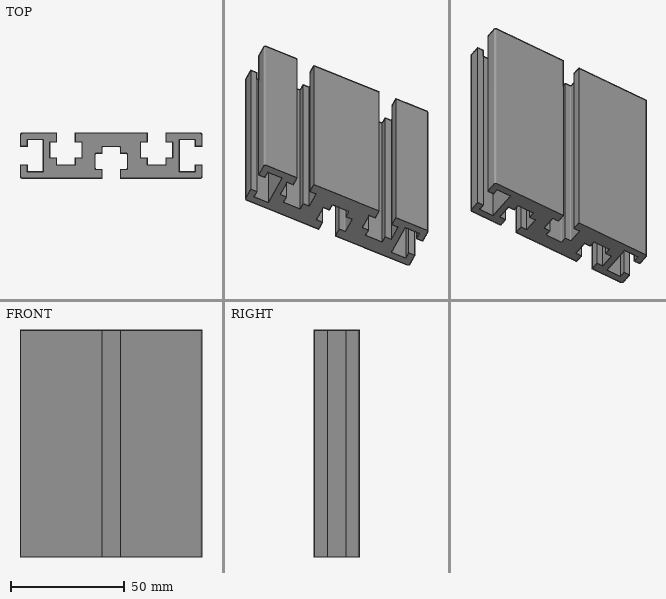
import cadquery as cq

WIDTH = 80.0
DEPTH = 20.0
LENGTH = 100.0
CORNER_RADIUS = 0.9

MOUTH_WIDTH = 8.1
CHAMBER_WIDTH = 14.1

LIP_THICKNESS = 4.0
CHAMBER_BOTTOM = 11.0
SLOT_DEPTH = 14.0
BACK_SLOT_OFFSET = WIDTH / 4
FRONT_SLOT_FILLET = 0.3

END_LIP_THICKNESS = 3.0
END_SLOT_DEPTH = 10.0


def bar():
    """Solid bar with its four long edges rounded."""
    return cq.Workplane("XY").box(WIDTH, DEPTH, LENGTH).edges("|Z").fillet(CORNER_RADIUS)


def box_between(x_range, y_range):
    """Full-length block spanning the given X and Y ranges."""
    x_size = x_range[1] - x_range[0]
    y_size = y_range[1] - y_range[0]
    x_middle = sum(x_range) / 2
    y_middle = sum(y_range) / 2
    return cq.Workplane("XY").box(x_size, y_size, LENGTH).translate((x_middle, y_middle, 0))


def stepped_slot():
    """Two crossing cutters of a slot at the -Y face: the deep channel and the wider chamber."""
    face = -DEPTH / 2
    half_mouth = MOUTH_WIDTH / 2
    half_chamber = CHAMBER_WIDTH / 2
    channel = box_between((-half_mouth, half_mouth), (face, face + SLOT_DEPTH))
    chamber = box_between(
        (-half_chamber, half_chamber),
        (face + LIP_THICKNESS, face + CHAMBER_BOTTOM),
    )
    return channel, chamber


def front_slot():
    """Central slot, with its chamber corners and channel bottom corners rounded."""
    channel, chamber = stepped_slot()
    rounded_channel = channel.edges("|Z and >Y").fillet(FRONT_SLOT_FILLET)
    rounded_chamber = chamber.edges("|Z").fillet(FRONT_SLOT_FILLET)
    return rounded_channel.union(rounded_chamber)


def back_slot(x_position):
    """Sharp-cornered slot opening at the +Y face."""
    channel, chamber = stepped_slot()
    return channel.union(chamber).rotate((0, 0, 0), (0, 0, 1), 180).translate((x_position, 0, 0))


def end_slot():
    """T-slot cutter opening at the -X end."""
    end = -WIDTH / 2
    half_mouth = MOUTH_WIDTH / 2
    half_chamber = CHAMBER_WIDTH / 2
    mouth = box_between((end, end + END_SLOT_DEPTH), (-half_mouth, half_mouth))
    chamber = box_between(
        (end + END_LIP_THICKNESS, end + END_SLOT_DEPTH),
        (-half_chamber, half_chamber),
    )
    return mouth.union(chamber)


result = bar().cut(front_slot())
for side in (-1, 1):
    result = result.cut(back_slot(side * BACK_SLOT_OFFSET))
result = result.cut(end_slot()).cut(end_slot().mirror("YZ"))